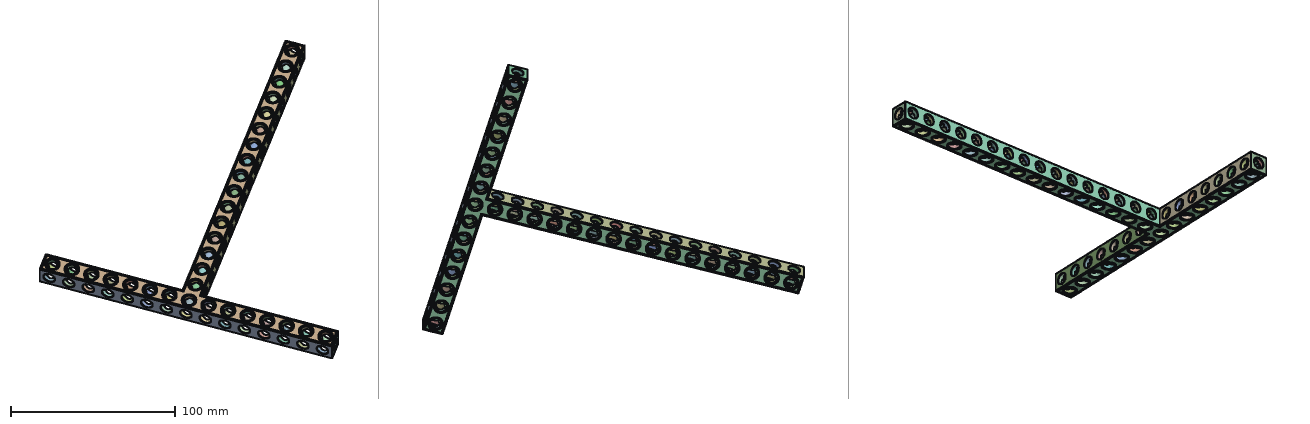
import cadquery as cq
import math

stem_length = 212.5
cells_y = 17
cells_x = 15
pitch = stem_length / cells_y
crossbar_length = cells_x * pitch

hole_diameter = 7.0
edge_chamfer = 0.32
rim_width = 1.1
collar_diameter = 9.1
panel_depth = 0.2

half_side = pitch / 2
half_crossbar = crossbar_length / 2
stem_end = stem_length - half_side
stem_middle = stem_end - stem_length / 2
row_centres = [i * pitch - half_crossbar + half_side for i in range(cells_x)]
stem_centres = [i * pitch for i in range(1, cells_y)]
cell_centres = [(x, 0) for x in row_centres] + [(0, y) for y in stem_centres]


def tee(height, inset=0):
    """T-shaped prism centred on the XY plane, with its outline moved inwards by inset."""
    side = half_side - inset
    tip = half_crossbar - inset
    end = stem_end - inset
    outline = [
        (-tip, -side),
        (tip, -side),
        (tip, side),
        (side, side),
        (side, end),
        (-side, end),
        (-side, side),
        (-tip, side),
    ]
    return cq.Workplane("XY").polyline(outline).close().extrude(height / 2, both=True)


def is_inside_corner(edge):
    """True for the two upright edges where the stem meets the crossbar."""
    centre = edge.Center()
    return math.hypot(abs(centre.x) - half_side, centre.y - half_side, centre.z) < edge_chamfer


def bevelled_body():
    """Full T with all its edges bevelled except the two inside corners."""
    body = tee(pitch)
    bevelled = [edge for edge in body.edges().vals() if not is_inside_corner(edge)]
    return body.newObject(bevelled).chamfer(edge_chamfer)


def panel_recesses():
    """Shallow recesses in the top and bottom, inside the rim and around the rings."""
    between_floors = tee(pitch - 2 * panel_depth)
    collars = cq.Workplane("XY").pushPoints(cell_centres)
    collars = collars.circle(collar_diameter / 2).extrude(half_side, both=True)
    return tee(pitch, rim_width).cut(between_floors).cut(collars)


def hole_cutter(length):
    """Cutter along Z for a through hole of the given length, bevelled at both mouths."""
    radius = hole_diameter / 2
    mouth = radius + edge_chamfer
    half = length / 2
    profile = [
        (0, -half),
        (mouth, -half),
        (radius, edge_chamfer - half),
        (radius, half - edge_chamfer),
        (mouth, half),
        (0, half),
    ]
    return cq.Workplane("XZ").polyline(profile).close().revolve(360, (0, 0), (0, 1)).val()


def cut_holes(body, cutter, centres):
    """Cut one hole at each centre."""
    cutters = [cutter.translate(cq.Vector(*centre)) for centre in centres]
    return body.cut(cq.Workplane(cq.Compound.makeCompound(cutters)))


def along_x(cutter):
    """Turn a vertical cutter to lie along X."""
    return cutter.rotate(cq.Vector(0, 0, 0), cq.Vector(0, 1, 0), 90)


def along_y(cutter):
    """Turn a vertical cutter to lie along Y."""
    return cutter.rotate(cq.Vector(0, 0, 0), cq.Vector(1, 0, 0), 90)


result = bevelled_body().cut(panel_recesses())

short_hole = hole_cutter(pitch)

result = cut_holes(result, short_hole, [(x, y, 0) for x, y in cell_centres])

side_centres = [(x, 0, 0) for i, x in enumerate(row_centres) if i != cells_x // 2]
result = cut_holes(result, along_y(short_hole), side_centres)
result = cut_holes(result, along_y(hole_cutter(stem_length)), [(0, stem_middle, 0)])

result = cut_holes(result, along_x(short_hole), [(0, y, 0) for y in stem_centres])
result = cut_holes(result, along_x(hole_cutter(crossbar_length)), [(0, 0, 0)])